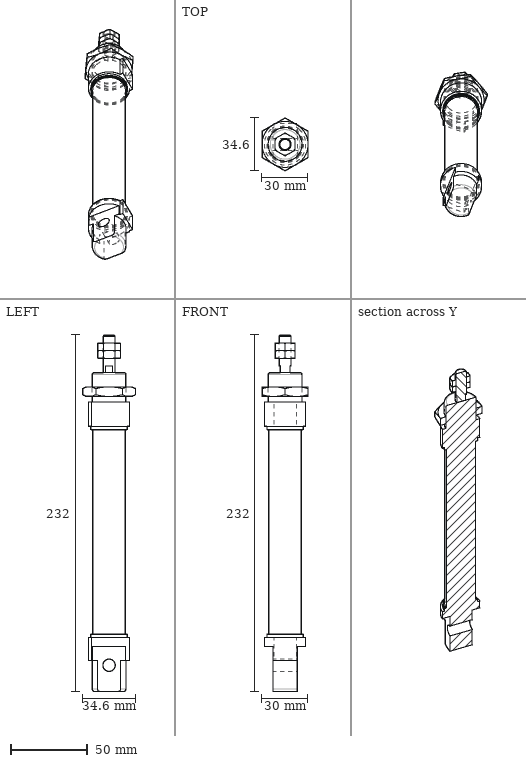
import cadquery as cq


total_height = 232.0
collar_top = 207.6
front_cap_top = 188.5
front_cap_bottom = 172.5
rear_cap_top = 35.3
tongue_flat_top = 29.2
rear_cap_bottom = 20.2

barrel_diameter = 21.3
cap_diameter = 27.0
crimp_ring_diameter = 24.0
crimp_ring_height = 2.3
crimp_ring_chamfer = 0.5
collar_diameter = 22.0
collar_fillet = 1.5
port_pad_width = 14.5
tongue_diameter = 22.0
tongue_thickness = 16.0
tongue_end_fillet = 1.6
pivot_hole_diameter = 8.0
pivot_hole_height = 17.2

rod_diameter = 8.0
rod_tip_chamfer_width = 0.58
rod_tip_chamfer_height = 1.0
rod_flat_spacing = 6.5
rod_flat_top = 212.0

mounting_nut_width = 30.0
mounting_nut_bottom = 192.0
mounting_nut_height = 6.3
mounting_nut_chamfer = 1.2
rod_nut_width = 13.0
rod_nut_stack_bottom = 217.0
rod_nut_stack_height = 10.0
rod_nut_count = 2
rod_nut_chamfer = 0.2
rod_nut_face_diameter = 14.0

corner_ratio = 2 / 3**0.5


def cylinder(diameter, bottom, top):
    return cq.Workplane("XY").workplane(offset=bottom).circle(diameter / 2).extrude(top - bottom)


def hex_prism(width, bottom, height):
    prism = cq.Workplane("XY").polygon(6, width * corner_ratio).extrude(height)
    return prism.rotate((0, 0, 0), (0, 0, 1), 30).translate((0, 0, bottom))


def side_flats_cutter(spacing, bottom, top):
    """Two blocks that leave only the material within the spacing along X."""
    size = 2 * cap_diameter
    height = top - bottom
    offset = (spacing + size) / 2
    return (
        cq.Workplane("XY")
        .workplane(offset=bottom)
        .pushPoints([(-offset, 0), (offset, 0)])
        .rect(size, size)
        .extrude(height)
    )


def make_cap(bottom, top):
    """Round cap with a flat port pad on its +Y side."""
    pad_depth = cap_diameter / 2
    pad = (
        cq.Workplane("XY")
        .workplane(offset=bottom)
        .center(0, pad_depth / 2)
        .rect(port_pad_width, pad_depth)
        .extrude(top - bottom)
    )
    return cylinder(cap_diameter, bottom, top).union(pad)


def make_collar():
    collar = cylinder(collar_diameter, front_cap_top, collar_top)
    return collar.faces(">Z").edges().fillet(collar_fillet)


def make_crimp_rings():
    """Rings where the barrel enters the caps, chamfered on the barrel side."""
    front = cylinder(crimp_ring_diameter, front_cap_bottom - crimp_ring_height, front_cap_bottom)
    rear = cylinder(crimp_ring_diameter, rear_cap_top, rear_cap_top + crimp_ring_height)
    front = front.faces("<Z").chamfer(crimp_ring_chamfer)
    rear = rear.faces(">Z").chamfer(crimp_ring_chamfer)
    return front.union(rear)


def make_rear_end():
    """Rear cap and the pivot tongue below it, flattened together on the X sides."""
    tongue = cylinder(tongue_diameter, 0, rear_cap_bottom).faces("<Z").edges().fillet(tongue_end_fillet)
    pivot_hole = (
        cq.Workplane("YZ")
        .center(0, pivot_hole_height)
        .circle(pivot_hole_diameter / 2)
        .extrude(cap_diameter, both=True)
    )
    return (
        make_cap(rear_cap_bottom, rear_cap_top)
        .union(tongue)
        .cut(side_flats_cutter(tongue_thickness, 0, tongue_flat_top))
        .cut(pivot_hole)
    )


def make_housing():
    return (
        cylinder(barrel_diameter, rear_cap_top, front_cap_bottom)
        .union(make_crimp_rings())
        .union(make_cap(front_cap_bottom, front_cap_top))
        .union(make_collar())
        .union(make_rear_end())
    )


def make_rod():
    """Piston rod with wrench flats just above the collar."""
    rod = cylinder(rod_diameter, collar_top, total_height)
    rod = rod.faces(">Z").chamfer(rod_tip_chamfer_height, rod_tip_chamfer_width)
    return rod.cut(side_flats_cutter(rod_flat_spacing, collar_top, rod_flat_top))


def make_nut(width, bottom, height, bore_diameter, face_diameter, chamfer_height):
    """Hexagon nut whose corners are chamfered at both ends, down to a round face."""
    top = bottom + height
    corner_diameter = width * corner_ratio
    chamfer_width = (corner_diameter - face_diameter) / 2
    corner_envelope = (
        cylinder(corner_diameter, bottom, top)
        .faces(">Z").chamfer(chamfer_height, chamfer_width)
        .faces("<Z").chamfer(chamfer_height, chamfer_width)
    )
    bore = cylinder(bore_diameter, bottom, top)
    return hex_prism(width, bottom, height).intersect(corner_envelope).cut(bore)


def make_mounting_nut():
    return make_nut(
        mounting_nut_width,
        mounting_nut_bottom,
        mounting_nut_height,
        collar_diameter,
        mounting_nut_width,
        mounting_nut_chamfer,
    )


def make_rod_nut(bottom, height):
    return make_nut(
        rod_nut_width, bottom, height, rod_diameter, rod_nut_face_diameter, rod_nut_chamfer
    )


housing = make_housing()
rod = make_rod()
mounting_nut = make_mounting_nut()

rod_nut_height = rod_nut_stack_height / rod_nut_count
rod_nuts = []
for index in range(rod_nut_count):
    nut_bottom = rod_nut_stack_bottom + index * rod_nut_height
    rod_nuts.append(make_rod_nut(nut_bottom, rod_nut_height).val())

result = cq.Compound.makeCompound([housing.val(), rod.val(), mounting_nut.val(), *rod_nuts])